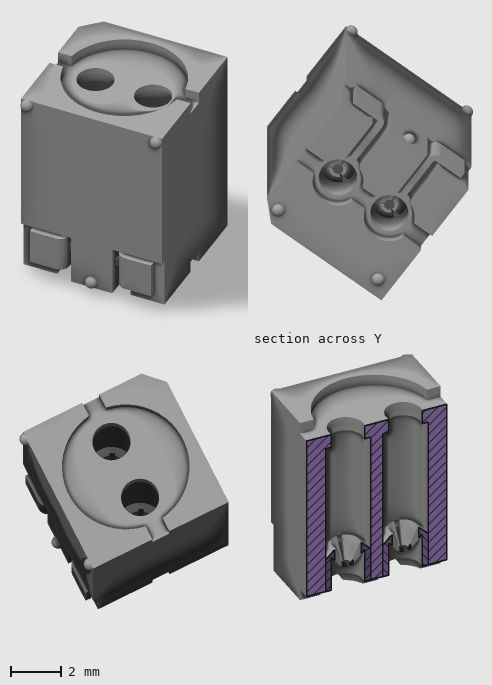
import cadquery as cq
import math

WIDTH = 6.22
DEPTH = 6.04
HEIGHT = 8.38
CORNER_CHAMFER = 0.76
FRONT_Y = -DEPTH / 2

GROOVE_WIDTH = 0.76
GROOVE_DEPTH = 0.5
RECESS_RADIUS = 2.54

NUB_RADIUS = 0.26
FOOT_INSET = 0.64

LEAD_PITCH = 2.54
LEAD_HOLE_RADIUS = 0.76
LEAD_HOLE_DEPTH = 0.63
LEAD_X = LEAD_PITCH / 2
BORE_TOP = HEIGHT - GROOVE_DEPTH - LEAD_HOLE_DEPTH

SLOT_WIDTH = 0.71
RELIEF_DEPTH = 0.22
RELIEF_HEIGHT = 2.16
SLOT_INNER_X = LEAD_X - SLOT_WIDTH / 2

STRIP_THICKNESS = 0.25
PAD_PROUD = 0.11
PAD_OUTER_X = 2.67
PAD_BOTTOM = 0.49
PAD_HEIGHT = 1.52
PAD_TOP = PAD_BOTTOM + PAD_HEIGHT
LEG_INNER_X = 1.12
BEND_RADIUS = 0.39
RING_RADIUS = LEAD_HOLE_RADIUS + STRIP_THICKNESS

BARB_BOTTOM = 1.21
BARB_ROOT_TOP = 1.61
BARB_TIP_TOP = 1.52

RIM_RADIUS = 0.59
RIM_RISE = RING_RADIUS - RIM_RADIUS
THROAT_RADIUS = 0.21
FINGER_TIP_WIDTH = 0.13
FINGER_DROP = 0.54
FRONT_GAP_HALF_ANGLE = 12.5
REAR_GAP_HALF_ANGLE = 10.0
FINGER_GAPS = [
    (30, REAR_GAP_HALF_ANGLE),
    (150, REAR_GAP_HALF_ANGLE),
    (270, FRONT_GAP_HALF_ANGLE),
]


def box(x0, x1, y0, y1, z0, z1):
    """Axis-aligned box between two opposite corners."""
    return cq.Workplane("XY").box(x1 - x0, y1 - y0, z1 - z0, centered=False).translate((x0, y0, z0))


def cylinder(radius, x, z0, z1):
    """Vertical cylinder on the Y = 0 plane."""
    return cq.Workplane("XY", origin=(x, 0, z0)).circle(radius).extrude(z1 - z0)


def add_nubs(block):
    """Three nubs on the front face and two under the bottom face."""
    nub_x = WIDTH / 2 - NUB_RADIUS
    foot_x = WIDTH / 2 - FOOT_INSET
    foot_y = DEPTH / 2 - FOOT_INSET
    centres = [
        (-nub_x, FRONT_Y, HEIGHT - NUB_RADIUS),
        (nub_x, FRONT_Y, HEIGHT - NUB_RADIUS),
        (0, FRONT_Y, NUB_RADIUS),
        (-foot_x, foot_y, 0),
        (foot_x, foot_y, 0),
    ]
    for centre in centres:
        block = block.union(cq.Workplane("XY").sphere(NUB_RADIUS).translate(centre))
    return block


def terminal_cavity():
    """Lead hole, bore, slot and pad relief on the -X side."""
    lead_hole = cylinder(LEAD_HOLE_RADIUS, -LEAD_X, 0, HEIGHT)
    bore = cylinder(RING_RADIUS, -LEAD_X, 0, BORE_TOP)
    slot_outer_x = SLOT_INNER_X + SLOT_WIDTH
    slot = box(-slot_outer_x, -SLOT_INNER_X, FRONT_Y, 0, 0, RELIEF_HEIGHT)
    relief = box(-WIDTH / 2, -SLOT_INNER_X, FRONT_Y, FRONT_Y + RELIEF_DEPTH, 0, RELIEF_HEIGHT)
    return lead_hole.union(bore).union(slot).union(relief)


def make_housing():
    block = cq.Workplane("XY").box(WIDTH, DEPTH, HEIGHT, centered=(True, True, False))
    block = block.edges("|Z and <X and >Y").chamfer(CORNER_CHAMFER)
    for groove_z in (0, HEIGHT - GROOVE_DEPTH):
        groove = cq.Workplane("XY", origin=(0, 0, groove_z)).rect(WIDTH, GROOVE_WIDTH)
        block = block.cut(groove.extrude(GROOVE_DEPTH))
    block = block.cut(cylinder(RECESS_RADIUS, 0, HEIGHT - GROOVE_DEPTH, HEIGHT))
    cavity = terminal_cavity()
    block = block.cut(cavity).cut(cavity.mirror("YZ"))
    return add_nubs(block)


def make_strip():
    """Solder pad bent through a right angle into the leg that runs back to the ring."""
    pad_front = FRONT_Y - PAD_PROUD
    pad_back = pad_front + STRIP_THICKNESS
    leg_end = -(LEAD_HOLE_RADIUS + RING_RADIUS) / 2
    leg_outer_x = LEG_INNER_X + STRIP_THICKNESS
    bend_x = -LEG_INNER_X - BEND_RADIUS
    bend_y = pad_front + BEND_RADIUS
    inner_radius = BEND_RADIUS - STRIP_THICKNESS
    diagonal = math.sqrt(0.5)
    return (
        cq.Workplane("XY", origin=(0, 0, PAD_BOTTOM))
        .moveTo(-PAD_OUTER_X, pad_front)
        .lineTo(bend_x, pad_front)
        .threePointArc(
            (bend_x + BEND_RADIUS * diagonal, bend_y - BEND_RADIUS * diagonal),
            (-LEG_INNER_X, bend_y),
        )
        .lineTo(-LEG_INNER_X, leg_end)
        .lineTo(-leg_outer_x, leg_end)
        .lineTo(-leg_outer_x, bend_y)
        .threePointArc(
            (bend_x + inner_radius * diagonal, bend_y - inner_radius * diagonal),
            (bend_x, pad_back),
        )
        .lineTo(-PAD_OUTER_X, pad_back)
        .close()
        .extrude(PAD_HEIGHT)
    )


def make_barb():
    """Barb reaching from the leg to the slot wall, with a sloping top."""
    outline = [
        (-LEG_INNER_X, BARB_BOTTOM),
        (-SLOT_INNER_X, BARB_BOTTOM),
        (-SLOT_INNER_X, BARB_TIP_TOP),
        (-LEG_INNER_X, BARB_ROOT_TOP),
    ]
    bend_end_y = FRONT_Y - PAD_PROUD + BEND_RADIUS
    barb = cq.Workplane("XZ", origin=(0, bend_end_y, 0)).polyline(outline).close()
    return barb.extrude(-STRIP_THICKNESS)


def make_fingers():
    """Folded conical funnel split into three fingers."""
    tip_z = PAD_TOP - FINGER_DROP
    profile = [
        (RING_RADIUS, PAD_TOP),
        (RIM_RADIUS, PAD_TOP + RIM_RISE),
        (THROAT_RADIUS, tip_z),
        (THROAT_RADIUS + FINGER_TIP_WIDTH, tip_z),
        (LEAD_HOLE_RADIUS, PAD_TOP),
    ]
    fingers = cq.Workplane("XZ").polyline(profile).close().revolve(360, (0, 0), (0, 1))
    gap_length = 2 * RING_RADIUS
    for direction, half_angle in FINGER_GAPS:
        half_width = gap_length * math.tan(math.radians(half_angle))
        gap = (
            cq.Workplane("XY")
            .polyline([(0, 0), (gap_length, -half_width), (gap_length, half_width)])
            .close()
            .extrude(HEIGHT)
            .rotate((0, 0, 0), (0, 0, 1), direction)
        )
        fingers = fingers.cut(gap)
    return fingers.translate((-LEAD_X, 0, 0))


def make_terminal():
    """Terminal on the -X side."""
    ring = cylinder(RING_RADIUS, -LEAD_X, PAD_BOTTOM, PAD_TOP)
    ring = ring.cut(cylinder(LEAD_HOLE_RADIUS, -LEAD_X, PAD_BOTTOM, PAD_TOP))
    return ring.union(make_fingers()).union(make_strip()).union(make_barb())


housing = make_housing()
left_terminal = make_terminal()
terminals = [left_terminal, left_terminal.mirror("YZ")]

result = cq.Compound.makeCompound([housing.val(), *[terminal.val() for terminal in terminals]])